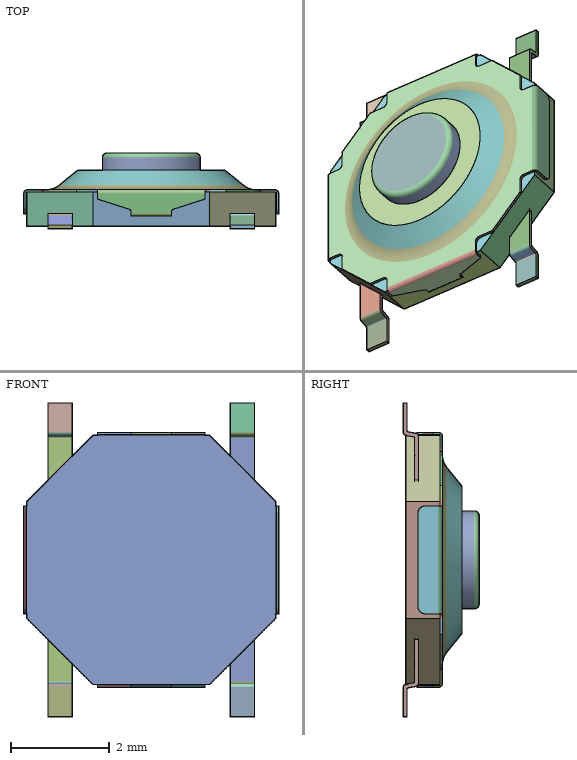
import cadquery as cq
import math


base_width = 5.08
base_chamfer = 1.35
base_bottom = 0.05
base_top = 0.75

cover_width = 5.2
sheet = 0.05
cover_top = base_top + sheet
bend_radius = 0.085
inner_bend_radius = (cover_width - base_width) / 2 - sheet
plate_width = 4.42
plate_chamfer = base_chamfer - (base_width - plate_width)
notch_radius = 0.1
flap_width = 2.2
side_flap_bottom = 0.3
side_flap_corner_radius = 0.15
shoulder_y = 0.61
tab_width = 0.83
tab_root_y = 0.39
tab_root_radius = 0.05
tab_bottom = 0.26
tab_edge_radius = 0.045

dome_top = 1.2
dome_top_radius = 1.5
dome_slope = math.radians(39)
dome_root_radius = 0.4

plunger_radius = 1.0
plunger_top = 1.55
plunger_edge_radius = 0.1

lead_width = 0.5
lead_spacing = 3.71
lead_thickness = 0.08
lead_length = 6.4
lead_top = 0.315
leg_upper_z = 2.5
leg_lower_z = 2.545
leg_thickness_z = 0.07
lead_inner_radius = 0.02
lead_outer_radius = 0.06


def plane_at(y):
    """XZ workplane at a height along the button axis."""
    return cq.Workplane("XZ", origin=(0, y, 0))


def block(size_x, size_z, y_low, y_high):
    """Rectangular block centred on the button axis."""
    return plane_at(y_low).rect(size_x, size_z).extrude(y_low - y_high)


def cylinder(radius, y_low, y_high):
    """Cylinder around the button axis."""
    return plane_at(y_low).circle(radius).extrude(y_low - y_high)


def fillet_at(body, point, radius):
    """Round the edge whose middle is nearest to the point."""
    return body.edges(cq.NearestToPointSelector(point)).fillet(radius)


def make_lead(x):
    """Strip running along Z inside the base, stepped down to a foot at each end."""
    strip_bottom = lead_top - lead_thickness
    foot_end = lead_length / 2
    strip_inner = (strip_bottom, leg_upper_z)
    strip_outer = (lead_top, leg_upper_z + leg_thickness_z)
    foot_outer = (0, leg_lower_z)
    foot_inner = (lead_thickness, leg_lower_z + leg_thickness_z)
    foot_tip = [(0, foot_end), (lead_thickness, foot_end)]
    half = [strip_inner, foot_outer, *foot_tip, foot_inner, strip_outer]
    other_half = [(y, -z) for y, z in reversed(half)]
    lead = (
        cq.Workplane("YZ", origin=(x - lead_width / 2, 0, 0))
        .polyline(half + other_half)
        .close()
        .extrude(lead_width)
    )
    for side in (-1, 1):
        for y, z in (strip_inner, foot_inner):
            lead = fillet_at(lead, (x, y, side * z), lead_inner_radius)
        for y, z in (strip_outer, foot_outer):
            lead = fillet_at(lead, (x, y, side * z), lead_outer_radius)
    return lead


def make_base(leads):
    """Octagonal block with a passage for each lead."""
    base = block(base_width, base_width, base_bottom, base_top)
    base = base.edges("|Y").chamfer(base_chamfer)
    for lead in leads:
        base = base.cut(lead)
    return base


def cover_tray():
    """Square sheet-metal tray, open at the bottom, with rounded bends along its top."""
    outer = block(cover_width, cover_width, tab_bottom, cover_top)
    outer = outer.faces(">Y").edges().fillet(bend_radius)
    inner_width = cover_width - 2 * sheet
    inner = block(inner_width, inner_width, tab_bottom, base_top)
    inner = inner.faces(">Y").edges().fillet(inner_bend_radius)
    return outer.cut(inner)


def cover_plan():
    """Cover outline in XZ: chamfered plate with an arm out to each flap."""
    plan = block(plate_width, plate_width, tab_bottom, cover_top)
    plan = plan.edges("|Y").chamfer(plate_chamfer)
    plan = plan.union(block(cover_width, flap_width, tab_bottom, cover_top))
    plan = plan.union(block(flap_width, cover_width, tab_bottom, cover_top))
    middle_y = (tab_bottom + cover_top) / 2
    arm_edge = flap_width / 2
    plate_edge = plate_width / 2
    for side_x in (-1, 1):
        for side_z in (-1, 1):
            for x, z in ((plate_edge, arm_edge), (arm_edge, plate_edge)):
                plan = fillet_at(plan, (side_x * x, middle_y, side_z * z), notch_radius)
    return plan


def side_flap_profile():
    """Rounded-corner outline of the X-side flaps, carried right across the cover."""
    profile = block(cover_width, flap_width, side_flap_bottom, cover_top)
    return profile.edges("|X and <Y").fillet(side_flap_corner_radius)


def tab_flap_profile():
    """Tapered outline of the Z-side flaps, carried right across the cover."""
    half_flap = flap_width / 2
    half_tab = tab_width / 2
    left = [
        (-half_flap, cover_top),
        (-half_flap, shoulder_y),
        (-half_tab, tab_root_y),
        (-half_tab, tab_bottom),
    ]
    right = [(-x, y) for x, y in reversed(left)]
    profile = (
        cq.Workplane("XY", origin=(0, 0, -cover_width / 2))
        .polyline(left + right)
        .close()
        .extrude(cover_width)
    )
    for side in (-1, 1):
        profile = fillet_at(profile, (side * half_tab, tab_root_y, 0), tab_root_radius)
    return profile.faces("<Y").edges("|X").fillet(tab_edge_radius)


def make_dome():
    """Solid cone frustum whose flank runs tangentially into the plate through an arc."""
    tangent_length = dome_root_radius * math.tan(dome_slope / 2)
    corner_radius = dome_top_radius + (dome_top - cover_top) / math.tan(dome_slope)
    root_radius = corner_radius + tangent_length
    flank_start = (
        corner_radius - tangent_length * math.cos(dome_slope),
        cover_top + tangent_length * math.sin(dome_slope),
    )
    arc_middle = (
        root_radius - dome_root_radius * math.sin(dome_slope / 2),
        cover_top + dome_root_radius * (1 - math.cos(dome_slope / 2)),
    )
    return (
        cq.Workplane("XY")
        .moveTo(0, base_top)
        .lineTo(root_radius, base_top)
        .lineTo(root_radius, cover_top)
        .threePointArc(arc_middle, flank_start)
        .lineTo(dome_top_radius, dome_top)
        .lineTo(0, dome_top)
        .close()
        .revolve(360, (0, 0, 0), (0, 1, 0))
    )


def make_cover():
    """Plate, flaps and dome in one piece, with a hole for the plunger."""
    plate_layer = block(cover_width, cover_width, base_top, cover_top)
    profiles = plate_layer.union(side_flap_profile()).union(tab_flap_profile())
    cover = cover_tray().intersect(cover_plan()).intersect(profiles)
    plunger_hole = cylinder(plunger_radius, base_top, dome_top)
    return cover.union(make_dome()).cut(plunger_hole)


def make_plunger():
    """Round button standing on the base and passing through the dome."""
    plunger = cylinder(plunger_radius, base_top, plunger_top)
    return plunger.faces(">Y").edges().fillet(plunger_edge_radius)


leads = [make_lead(side * lead_spacing / 2) for side in (-1, 1)]
base = make_base(leads)
cover = make_cover()
plunger = make_plunger()

result = cq.Compound.makeCompound([
    base.val(),
    cover.val(),
    plunger.val(),
    *[lead.val() for lead in leads],
])